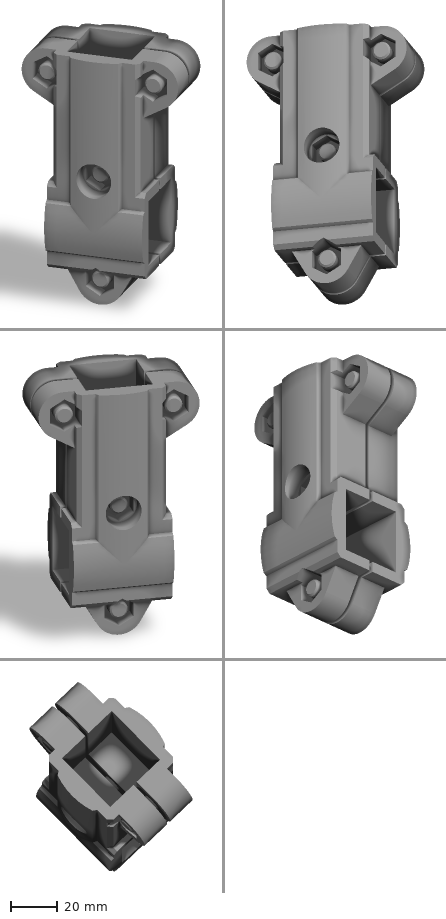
import cadquery as cq
import math

total_height = 116.0
total_width = 72.0
lug_reach = total_width / 2
cross_axis_z = lug_reach
cross_length = 45.0

tube_size = 40.0
bore_size = 30.0
corner_chamfer = 2.0
total_depth = 47.0
dome_base_width = 24.0
dome_arc_width = 21.9
dome_arc_start = 21.7
upright_bore_depth = 46.4

split_gap = 2.0

lug_radius = 11.0
lug_depth = 29.0
lug_taper = 30.0

bolt_offset = 24.5
bolt_diameter = 8.0
bolt_chamfer = 0.8
nut_across_flats = 13.0
nut_pocket_depth = 7.0
counterbore_diameter = 16.0

half_tube = tube_size / 2
half_depth = total_depth / 2
half_lug = lug_depth / 2
top_bolt_z = total_height - lug_radius
middle_bolt_z = cross_axis_z + bolt_offset
bottom_bolt_z = cross_axis_z - bolt_offset
nut_across_corners = nut_across_flats / math.cos(math.radians(30))


def tube_section(length):
    """Solid tube standing on the origin, with domes facing +Y and -Y."""
    core = cq.Workplane("XY").rect(tube_size, tube_size).extrude(length)
    core = core.edges("|Z").chamfer(corner_chamfer)
    base_x = dome_base_width / 2
    arc_x = dome_arc_width / 2
    domes = (
        cq.Workplane("XY")
        .moveTo(-base_x, half_tube)
        .lineTo(-arc_x, dome_arc_start)
        .threePointArc((0, half_depth), (arc_x, dome_arc_start))
        .lineTo(base_x, half_tube)
        .lineTo(base_x, -half_tube)
        .lineTo(arc_x, -dome_arc_start)
        .threePointArc((0, -half_depth), (-arc_x, -dome_arc_start))
        .lineTo(-base_x, -half_tube)
        .close()
        .extrude(length)
    )
    return core.union(domes)


def lug_tangent():
    """Point where the sloping side leaves the rounded tip, relative to the tip's centre."""
    angle = math.radians(lug_taper)
    return lug_radius * math.sin(angle), lug_radius * math.cos(angle)


def top_lug(side):
    """Lug at the upright's mouth, on the left (side = -1) or right (side = 1)."""
    along, across = lug_tangent()
    centre_x = lug_reach - lug_radius
    tangent_x = centre_x + along
    tangent_z = top_bolt_z - across
    root_x = bore_size / 2
    root_z = tangent_z - (tangent_x - root_x) * math.tan(math.radians(lug_taper))
    return (
        cq.Workplane("XZ")
        .moveTo(side * root_x, total_height)
        .lineTo(side * centre_x, total_height)
        .threePointArc((side * lug_reach, top_bolt_z), (side * tangent_x, tangent_z))
        .lineTo(side * root_x, root_z)
        .close()
        .extrude(half_lug, both=True)
    )


def bottom_lug():
    """Lug under the cross socket, tapering on both sides to a rounded tip."""
    along, across = lug_tangent()
    tangent_z = lug_radius - along
    root_z = cross_axis_z - bore_size / 2
    root_x = across + (root_z - tangent_z) * math.tan(math.radians(lug_taper))
    return (
        cq.Workplane("XZ")
        .moveTo(-root_x, root_z)
        .lineTo(-across, tangent_z)
        .threePointArc((0, 0), (across, tangent_z))
        .lineTo(root_x, root_z)
        .close()
        .extrude(half_lug, both=True)
    )


def y_cylinder(x, z, diameter, length):
    """Cylinder along Y, centred on the split plane."""
    return cq.Workplane("XZ").center(x, z).circle(diameter / 2).extrude(length / 2, both=True)


def y_hexagon(x, z, length):
    """Hexagonal prism along Y with points up and down, centred on the split plane."""
    nut_plane = cq.Workplane("XZ").center(x, z).transformed(rotate=(0, 0, 90))
    return nut_plane.polygon(6, nut_across_corners).extrude(length / 2, both=True)


def nut_pockets(x, z):
    """Nut pockets in both halves, open outwards from their floors."""
    floor_spacing = lug_depth - 2 * nut_pocket_depth
    return y_hexagon(x, z, total_depth).cut(y_hexagon(x, z, floor_spacing))


def counterbores(x, z):
    """Round recesses in both domes, down to the depth of the lug faces."""
    full_length = y_cylinder(x, z, counterbore_diameter, total_depth)
    return full_length.cut(y_cylinder(x, z, counterbore_diameter, lug_depth))


def bolt(x, z):
    """Bolt shank ending flush with the lug faces, with chamfered ends."""
    return y_cylinder(x, z, bolt_diameter, lug_depth).faces("<Y or >Y").chamfer(bolt_chamfer)


upright = tube_section(total_height - cross_axis_z).translate((0, 0, cross_axis_z))
cross = (
    tube_section(cross_length)
    .rotate((0, 0, 0), (0, 1, 0), 90)
    .translate((-cross_length / 2, 0, cross_axis_z))
)
body = upright.union(cross).union(bottom_lug())
for lug_side in (-1, 1):
    body = body.union(top_lug(lug_side))

upright_bore = (
    cq.Workplane("XY")
    .workplane(offset=total_height - upright_bore_depth)
    .rect(bore_size, bore_size)
    .extrude(upright_bore_depth)
)
cross_bore = cq.Workplane("XY").box(cross_length, bore_size, bore_size).translate((0, 0, cross_axis_z))
body = body.cut(upright_bore).cut(cross_bore)

split = cq.Workplane("XY").box(total_width, split_gap, 2 * total_height)
body = body.cut(split)

body = body.cut(counterbores(0, middle_bolt_z))

bolt_places = [
    (-bolt_offset, top_bolt_z),
    (bolt_offset, top_bolt_z),
    (0, middle_bolt_z),
    (0, bottom_bolt_z),
]
for bolt_x, bolt_z in bolt_places:
    body = body.cut(nut_pockets(bolt_x, bolt_z))
for bolt_x, bolt_z in bolt_places:
    body = body.union(bolt(bolt_x, bolt_z))

result = body